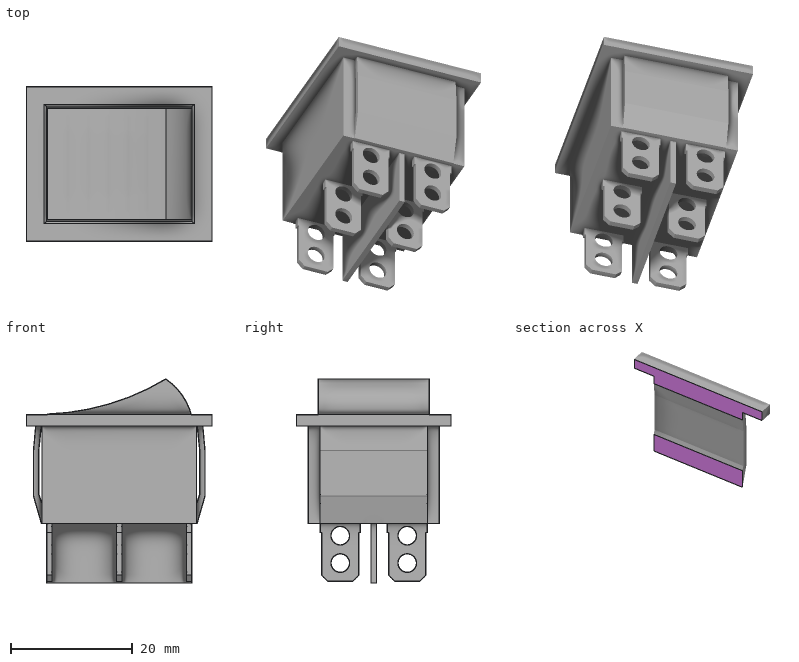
import cadquery as cq


BEZEL_LENGTH = 30.5
BEZEL_WIDTH = 25.4
BEZEL_THICKNESS = 1.9

WINDOW_LENGTH = 23.85
WINDOW_WIDTH = 18.8
WINDOW_CHAMFER = 0.4

BODY_LENGTH = 25.4
BODY_WIDTH = 21.6
BODY_HEIGHT = 16.0

ROCKER_WIDTH = 18.3
ROCKER_END_RADIUS = 10.5
ROCKER_LOW_FOOT_X = 12.4
ROCKER_HIGH_FOOT_X = 12.2
ROCKER_LOW_EDGE_X = 11.78
ROCKER_LOW_EDGE_RISE = 0.1
ROCKER_TOP_MIDDLE_X = -1.64
ROCKER_TOP_MIDDLE_RISE = 1.75
ROCKER_CREST_X = 7.65
ROCKER_CREST_RISE = 5.85

CLIP_WIDTH = 17.6
CLIP_TOP_OUTER_X = 13.75
CLIP_TOP_INNER_X = 12.8
CLIP_OUTER_X = 14.1
CLIP_THICKNESS = 0.9
CLIP_UPPER_BEND_DEPTH = 4.0
CLIP_BOTTOM_X = 12.8
CLIP_LOWER_BEND_DEPTH = 11.5
CLIP_INNER_BEND_DEPTH = 11.2
CLIP_INNER_END_DEPTH = 12.7

TERMINAL_THICKNESS = 0.9
TERMINAL_PITCH_X = 11.5
TERMINAL_PITCH_Y = 11.0
TERMINAL_LENGTH = 9.5
TERMINAL_WIDTH = 6.1
TERMINAL_CHAMFER = 1.0
SHOULDER_WIDTH = 6.6
SHOULDER_LENGTH = 1.5
TERMINAL_HOLE_DIAMETER = 3.0
TERMINAL_HOLE_DEPTHS = (2.0, 6.5)

DIVIDER_THICKNESS = 0.95
DIVIDER_HEIGHT = 9.8

DIVIDER_LENGTH = 2 * TERMINAL_PITCH_X + TERMINAL_THICKNESS
BODY_END_X = BODY_LENGTH / 2


def block(length, width, bottom_z, height):
    """Box centred on the Z axis, standing on bottom_z."""
    return (
        cq.Workplane("XY")
        .workplane(offset=bottom_z)
        .rect(length, width)
        .extrude(height)
    )


def make_bezel():
    """Rectangular frame whose window has a chamfered upper rim."""
    window = block(WINDOW_LENGTH, WINDOW_WIDTH, 0, BEZEL_THICKNESS)
    frame = block(BEZEL_LENGTH, BEZEL_WIDTH, 0, BEZEL_THICKNESS).cut(window)
    inside_window = cq.selectors.BoxSelector(
        (-BEZEL_LENGTH / 2 + WINDOW_CHAMFER, -BEZEL_WIDTH / 2 + WINDOW_CHAMFER, BEZEL_THICKNESS / 2),
        (BEZEL_LENGTH / 2 - WINDOW_CHAMFER, BEZEL_WIDTH / 2 - WINDOW_CHAMFER, 2 * BEZEL_THICKNESS),
    )
    return frame.faces(">Z").edges(inside_window).chamfer(WINDOW_CHAMFER)


def make_rocker():
    """Rocker profile in XZ, standing on the housing and extruded along Y."""
    low_edge = (-ROCKER_LOW_EDGE_X, BEZEL_THICKNESS + ROCKER_LOW_EDGE_RISE)
    top_middle = (ROCKER_TOP_MIDDLE_X, BEZEL_THICKNESS + ROCKER_TOP_MIDDLE_RISE)
    crest = (ROCKER_CREST_X, BEZEL_THICKNESS + ROCKER_CREST_RISE)
    return (
        cq.Workplane("XZ")
        .moveTo(-ROCKER_LOW_FOOT_X, 0)
        .radiusArc(low_edge, ROCKER_END_RADIUS)
        .threePointArc(top_middle, crest)
        .radiusArc((ROCKER_HIGH_FOOT_X, 0), ROCKER_END_RADIUS)
        .close()
        .extrude(ROCKER_WIDTH / 2, both=True)
    )


def make_clip():
    """Bent clip on the +X end, joined to the bezel above and the housing below."""
    inner_x = CLIP_OUTER_X - CLIP_THICKNESS
    outline = [
        (CLIP_TOP_INNER_X, 0),
        (CLIP_TOP_OUTER_X, 0),
        (CLIP_OUTER_X, -CLIP_UPPER_BEND_DEPTH),
        (CLIP_OUTER_X, -CLIP_LOWER_BEND_DEPTH),
        (CLIP_BOTTOM_X, -BODY_HEIGHT),
        (BODY_END_X, -BODY_HEIGHT),
        (BODY_END_X, -CLIP_INNER_END_DEPTH),
        (inner_x, -CLIP_INNER_BEND_DEPTH),
        (inner_x, -CLIP_UPPER_BEND_DEPTH),
    ]
    return cq.Workplane("XZ").polyline(outline).close().extrude(CLIP_WIDTH / 2, both=True)


def make_terminal():
    """Blade terminal hanging below the housing, centred on the Z axis."""
    shoulder = block(TERMINAL_THICKNESS, SHOULDER_WIDTH, -BODY_HEIGHT - SHOULDER_LENGTH, SHOULDER_LENGTH)
    blade = (
        block(TERMINAL_THICKNESS, TERMINAL_WIDTH, -BODY_HEIGHT - TERMINAL_LENGTH, TERMINAL_LENGTH)
        .edges("|X and <Z")
        .chamfer(TERMINAL_CHAMFER)
    )
    holes = (
        cq.Workplane("YZ")
        .pushPoints([(0, -BODY_HEIGHT - depth) for depth in TERMINAL_HOLE_DEPTHS])
        .circle(TERMINAL_HOLE_DIAMETER / 2)
        .extrude(TERMINAL_THICKNESS, both=True)
    )
    return blade.union(shoulder).cut(holes)


body = block(BODY_LENGTH, BODY_WIDTH, -BODY_HEIGHT, BODY_HEIGHT)
result = body.union(make_bezel()).union(make_rocker())

clip = make_clip()
result = result.union(clip).union(clip.mirror("YZ"))

terminal = make_terminal()
for column in (-1, 0, 1):
    for side in (-1, 1):
        offset = (column * TERMINAL_PITCH_X, side * TERMINAL_PITCH_Y / 2, 0)
        result = result.union(terminal.translate(offset))
divider = block(DIVIDER_LENGTH, DIVIDER_THICKNESS, -BODY_HEIGHT - DIVIDER_HEIGHT, DIVIDER_HEIGHT)
result = result.union(divider)